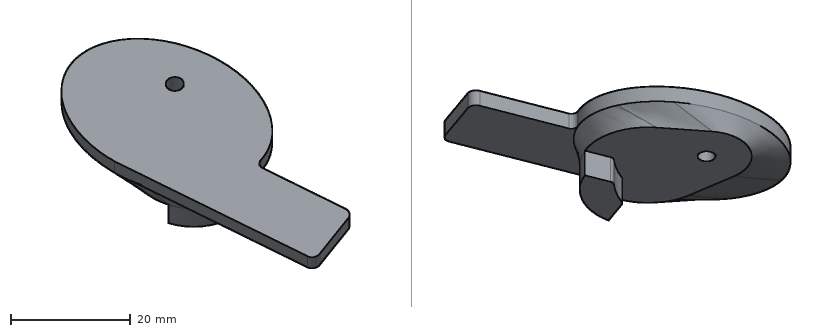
import cadquery as cq
import math

length = 57.05
width = 27.8
plate_thickness = 3.0
taper_height = 4
hook_height = 4.95
plate_bottom = hook_height + taper_height

oval_radius_x = 19.0
oval_radius_y = 13.9
oval_x = oval_radius_x
oval_y = width - oval_radius_y

arm_width = 12.05
arm_corner_radius = 1.5
neck_radius = 1.15

hole_diameter = 3.0
hole_x = 17.05
hole_y = 19.45

small_end_radius = 7.6
large_end_radius = 11.45
large_end_x = 24.9
large_end_y = 12.95

hook_inner_radius = 15.6
hook_flat_x = 27.0
hook_end_y = 12.5
hook_corner_radius = 1.0

oval_split_angles = [67, 185, 228, 283, 395]


def box_between(x_min, x_max, y_min, y_max, z_min, z_max):
    size = (x_max - x_min, y_max - y_min, z_max - z_min)
    return cq.Workplane("XY").box(*size, centered=False).translate((x_min, y_min, z_min))


def point_on_circle(center_x, center_y, radius, angle):
    turn = math.radians(angle)
    return (center_x + radius * math.cos(turn), center_y + radius * math.sin(turn))


def make_plate():
    oval = (
        cq.Workplane("XY", origin=(oval_x, oval_y, plate_bottom))
        .ellipse(oval_radius_x, oval_radius_y, rotation_angle=180)
        .extrude(plate_thickness)
    )
    plate_top = plate_bottom + plate_thickness
    arm = box_between(oval_x, length, 0, arm_width, plate_bottom, plate_top)
    arm = arm.edges("|Z and >X").fillet(arm_corner_radius)
    plate = oval.union(arm)
    neck_x = oval_x + oval_radius_x
    neck = cq.selectors.NearestToPointSelector((neck_x, arm_width, plate_bottom + plate_thickness / 2))
    return plate.edges(neck).fillet(neck_radius)


def oval_wire():
    ends = oval_split_angles[1:] + [oval_split_angles[0] + 360]
    center = cq.Vector(oval_x, oval_y, plate_bottom)
    edges = []
    for start, end in zip(oval_split_angles, ends):
        edges.append(
            cq.Edge.makeEllipse(
                oval_radius_x,
                oval_radius_y,
                center,
                cq.Vector(0, 0, 1),
                cq.Vector(1, 0, 0),
                angle1=start,
                angle2=end,
            )
        )
    return cq.Wire.assembleEdges(edges)


def small_end(angle):
    return point_on_circle(hole_x, hole_y, small_end_radius, angle)


def large_end(angle):
    return point_on_circle(large_end_x, large_end_y, large_end_radius, angle)


def lower_wire():
    axis_x = large_end_x - hole_x
    axis_y = large_end_y - hole_y
    axis_angle = math.degrees(math.atan2(axis_y, axis_x))
    radius_step = small_end_radius - large_end_radius
    spread = math.degrees(math.acos(radius_step / math.hypot(axis_x, axis_y)))
    upper = axis_angle + spread
    lower = axis_angle - spread
    split = -math.degrees(math.acos((hook_flat_x - large_end_x) / large_end_radius))
    return (
        cq.Workplane("XY", origin=(0, 0, hook_height))
        .moveTo(*small_end(upper))
        .threePointArc(small_end(axis_angle + 180), small_end(lower))
        .lineTo(*large_end(lower))
        .threePointArc(large_end((lower + split) / 2), large_end(split))
        .threePointArc(large_end((split + upper) / 2), large_end(upper))
        .close()
        .val()
    )


def make_boss():
    return cq.Workplane(cq.Solid.makeLoft([oval_wire(), lower_wire()], True))


def make_hook():
    outer = (
        cq.Workplane("XY", origin=(large_end_x, large_end_y, 0))
        .circle(large_end_radius)
        .extrude(hook_height)
    )
    inner = (
        cq.Workplane("XY", origin=(hole_x, hole_y, 0))
        .circle(hook_inner_radius)
        .extrude(hook_height)
    )
    sector = box_between(hook_flat_x, length, 0, hook_end_y, 0, hook_height)
    hook = outer.intersect(sector).cut(inner)
    flat_corner_y = hole_y - math.sqrt(hook_inner_radius**2 - (hook_flat_x - hole_x) ** 2)
    end_corner_x = hole_x + math.sqrt(hook_inner_radius**2 - (hook_end_y - hole_y) ** 2)
    inner_corners = [(hook_flat_x, flat_corner_y), (end_corner_x, hook_end_y)]
    for x, y in inner_corners:
        corner = cq.selectors.NearestToPointSelector((x, y, hook_height / 2))
        hook = hook.edges("|Z").edges(corner).fillet(hook_corner_radius)
    return hook


hole = (
    cq.Workplane("XY", origin=(hole_x, hole_y, 0))
    .circle(hole_diameter / 2)
    .extrude(plate_bottom + plate_thickness)
)
below_straight_edge = box_between(0, length, -width, 0, 0, plate_bottom + plate_thickness)

result = make_plate().union(make_boss()).union(make_hook()).cut(hole).cut(below_straight_edge)